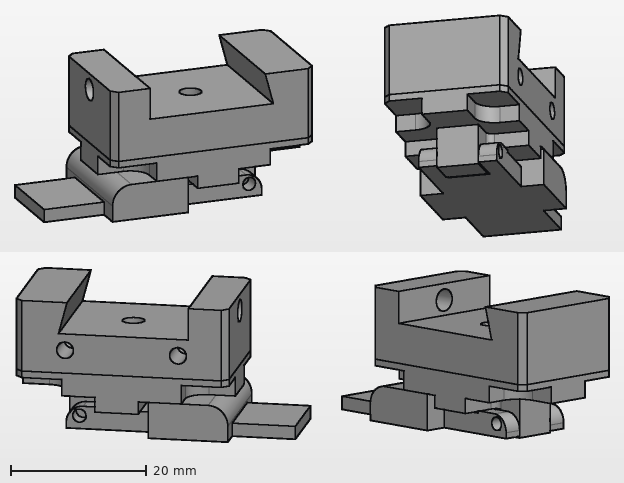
import cadquery as cq
import math


width = 19.0
length = 32.0
block_height = 10.8
corner_chamfer = 1.0
groove_depth = 4.8
groove_front_y = -10.05
groove_back_y = 8.2
dovetail_angle = 15.0
screw_hole_diameter = 3.3
clamp_hole_below_top = 2.5
side_hole_diameter = 2.5
side_hole_depth = 6.0
side_hole_spacing = 17.0
side_hole_z = 3.5
drill_point_angle = 118.0

flange_thickness = 1.0
back_arm_bottom = -3.5
front_arm_bottom = -3.85
arm_width = 7.0
cross_length = 18.0
cross_fillet = 3.0
pick_margin = 0.1
step_front_y = -2.5
step_back_y = 4.0
step_bottom = -5.75
lug_width = 6.4
lug_fillet = 1.0
lug_bottom = -9.6

lever_bottom = -9.35
lever_width = 12.0
ear_top = -5.9
ear_front_y = 3.0
ear_radius = 2.5
lever_arm_top = -6.25
head_back_y = -4.0
head_fillet = 3.0
tab_thickness = 2.0
tab_length = 9.5
hinge_hole_diameter = 2.0
hinge_y = 7.0
hinge_z = -7.35

front_y = -length / 2
back_y = length / 2
cross_front_y = -cross_length / 2
cross_back_y = cross_length / 2


def box(size_x, y_start, y_end, z_start, z_end):
    """Box centred on X = 0 between the given Y and Z limits."""
    size_y = y_end - y_start
    size_z = z_end - z_start
    return (
        cq.Workplane("XY")
        .box(size_x, size_y, size_z, centered=(True, False, False))
        .translate((0, y_start, z_start))
    )


def chamfered_slab(z_start, z_end):
    """Slab with the full outline of the block and chamfered upright corners."""
    slab = box(width, front_y, back_y, z_start, z_end)
    return slab.edges("|Z").chamfer(corner_chamfer)


def dovetail_groove():
    """Groove across the top: upright front wall, undercut back wall."""
    floor_z = block_height - groove_depth
    undercut = groove_depth * math.tan(math.radians(dovetail_angle))
    return (
        cq.Workplane("YZ")
        .moveTo(groove_front_y, block_height)
        .lineTo(groove_front_y, floor_z)
        .lineTo(groove_back_y + undercut, floor_z)
        .lineTo(groove_back_y, block_height)
        .close()
        .extrude(width / 2, both=True)
    )


def side_hole(y):
    """Blind drilled hole with a conical end, entering the -X side."""
    radius = side_hole_diameter / 2
    point_length = radius / math.tan(math.radians(drill_point_angle / 2))
    entry_x = -width / 2
    shoulder_x = entry_x + side_hole_depth
    return (
        cq.Workplane("XY")
        .moveTo(entry_x, 0)
        .lineTo(entry_x, radius)
        .lineTo(shoulder_x, radius)
        .lineTo(shoulder_x + point_length, 0)
        .close()
        .revolve(360, (0, 0, 0), (1, 0, 0))
        .translate((0, y, side_hole_z))
    )


def make_block():
    block = chamfered_slab(0, block_height).cut(dovetail_groove())
    screw_radius = screw_hole_diameter / 2
    centre_hole = cq.Workplane("XY").circle(screw_radius).extrude(block_height)
    clamp_hole = (
        cq.Workplane("XZ", origin=(0, front_y, block_height - clamp_hole_below_top))
        .circle(screw_radius)
        .extrude(front_y - groove_front_y)
    )
    block = block.cut(centre_hole).cut(clamp_hole)
    for y in (-side_hole_spacing / 2, side_hole_spacing / 2):
        block = block.cut(side_hole(y))
    return block


def cross_body():
    """Cross-shaped layer under the flange, with rounded inner corners."""
    cross = box(width, cross_front_y, cross_back_y, front_arm_bottom, -flange_thickness)
    arms = box(arm_width, front_y, back_y, front_arm_bottom, -flange_thickness)
    corner_x = arm_width / 2
    cross = cross.union(arms)
    for x in (-corner_x, corner_x):
        for y in (cross_front_y, cross_back_y):
            corner = cq.selectors.BoxSelector(
                (x - pick_margin, y - pick_margin, front_arm_bottom),
                (x + pick_margin, y + pick_margin, 0),
            )
            cross = cross.edges(corner).fillet(cross_fillet)
    shallow_back = box(width, step_back_y, back_y, front_arm_bottom, back_arm_bottom)
    return cross.cut(shallow_back)


def hinge_step():
    """Deep step across the base, with the hinge lug blended into its back face."""
    step = box(width, step_front_y, step_back_y, step_bottom, -flange_thickness)
    upper_lug = box(lug_width, step_back_y, cross_back_y, step_bottom, back_arm_bottom)
    lower_lug = box(lug_width, step_back_y, cross_back_y, lug_bottom, step_bottom)
    blend = box(
        lug_width + 2 * lug_fillet,
        step_back_y - lug_fillet,
        step_back_y + lug_fillet,
        step_bottom,
        back_arm_bottom,
    )
    for side in (-1, 1):
        relief = (
            cq.Workplane("XY", origin=(0, 0, step_bottom))
            .center(side * (lug_width / 2 + lug_fillet), step_back_y + lug_fillet)
            .circle(lug_fillet)
            .extrude(back_arm_bottom - step_bottom)
        )
        blend = blend.cut(relief)
    return step.union(upper_lug).union(blend).union(lower_lug)


def make_base():
    flange = chamfered_slab(-flange_thickness, 0)
    return flange.union(cross_body()).union(hinge_step())


def make_lever():
    ears = box(lever_width, ear_front_y, cross_back_y, lever_bottom, ear_top)
    ears = ears.edges(">Y and >Z").fillet(ear_radius)
    arm = box(lever_width, head_back_y, ear_front_y, lever_bottom, lever_arm_top)
    head = box(width, front_y, head_back_y, lever_bottom, front_arm_bottom)
    head = head.edges("<Y and >Z").fillet(head_fillet)
    tab = box(lever_width, front_y - tab_length, front_y, lever_bottom, lever_bottom + tab_thickness)
    lug_slot = box(lug_width, ear_front_y, cross_back_y, lever_bottom, ear_top)
    hinge_hole = (
        cq.Workplane("YZ")
        .center(hinge_y, hinge_z)
        .circle(hinge_hole_diameter / 2)
        .extrude(lever_width / 2, both=True)
    )
    lever = head.union(arm).union(ears).union(tab)
    return lever.cut(lug_slot).cut(hinge_hole)


block = make_block()
base = make_base()
lever = make_lever()

result = cq.Compound.makeCompound([block.val(), base.val(), lever.val()])